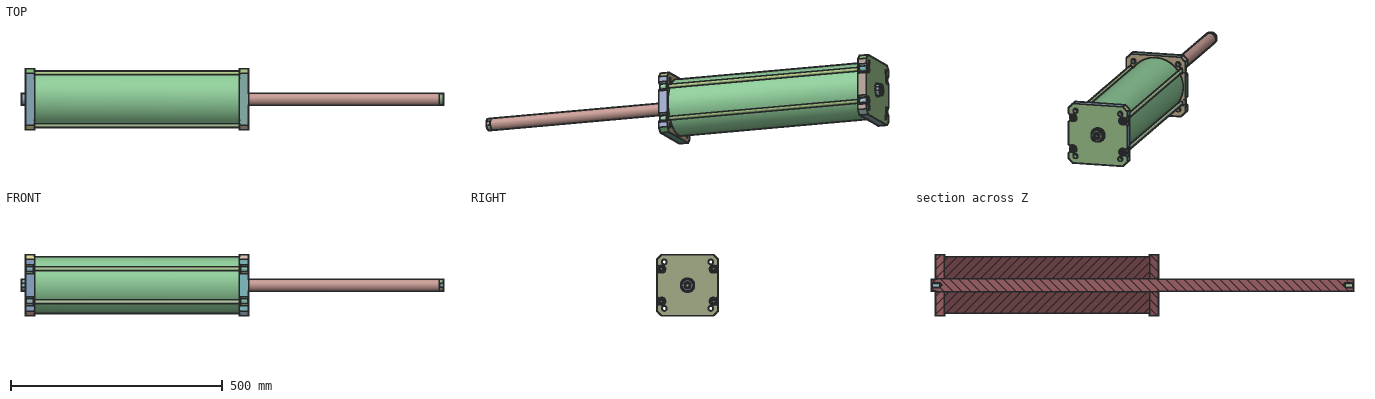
import cadquery as cq


total_length = 998.0
rear_stub = 10.0
cap_thickness = 22.0
body_length = 527.0
rear_face = rear_stub
body_middle = rear_face + body_length / 2
barrel_start = rear_face + cap_thickness
barrel_length = body_length - 2 * cap_thickness

cap_size = 145.0
half_cap = cap_size / 2
corner_chamfer = 11.0
mount_hole_offset = 55.0
mount_hole_diameter = 11.0
rod_recess_diameter = 33.0
rod_recess_depth = 3.0
pocket_diameter = 18.0
pocket_y = 61.0
pocket_z = 38.0
pocket_depth = 19.0
pocket_mouth = 22.0

barrel_diameter = 135.0
rod_diameter = 29.0
rod_end_step = 0.1
rod_end_diameter = rod_diameter - 2 * rod_end_step
rod_end_length = 11.0
rod_end_chamfer = 1.0
flat_depth = 0.7
flat_length = 9.0
end_hole_diameter = 10.0
end_hole_depth = 20.0
end_hole_mouth = 16.0

tie_y = 62.0
tie_z = 39.0
tie_diameter = 9.0
head_diameter = 15.0
head_recess = 1.0
head_length = pocket_depth - head_recess
socket_width = 8.0
socket_sides = 6
socket_turn = 90.0
socket_depth = 10.0

SIGNS = (-1, 1)
CORNERS = [(y_side, z_side) for y_side in SIGNS for z_side in SIGNS]


def x_cylinder(diameter, start, length, y=0, z=0):
    """Round bar along +X from x = start."""
    return cq.Workplane("YZ", origin=(start, y, z)).circle(diameter / 2).extrude(length)


def mirror_along_body(shape):
    """Copy of a shape on the other end of the cylinder body."""
    return shape.mirror("YZ", (body_middle, 0, 0))


def head_pocket(y_side, z_side):
    """Round pocket for a tie-rod head, opening on the cap side through a V mouth."""
    y = y_side * pocket_y
    z = z_side * pocket_z
    half_mouth = pocket_mouth / 2
    mouth_points = [
        (y_side * half_cap, z - half_mouth),
        (y_side * half_cap, z + half_mouth),
        (y_side * (half_cap - half_mouth), z),
    ]
    mouth = cq.Workplane("YZ", origin=(rear_face, 0, 0)).polyline(mouth_points).close().extrude(pocket_depth)
    return x_cylinder(pocket_diameter, rear_face, pocket_depth, y, z).union(mouth)


def make_rear_cap():
    """Square cap with a rod bore, corner mounting holes, tie-rod holes and head pockets."""
    cap = (
        cq.Workplane("YZ", origin=(rear_face, 0, 0))
        .rect(cap_size, cap_size)
        .extrude(cap_thickness)
        .edges("|X")
        .chamfer(corner_chamfer)
    )
    cap = cap.cut(x_cylinder(rod_diameter, rear_face, cap_thickness))
    cap = cap.cut(x_cylinder(rod_recess_diameter, rear_face, rod_recess_depth))
    for y_side, z_side in CORNERS:
        hole_y = y_side * mount_hole_offset
        hole_z = z_side * mount_hole_offset
        cap = cap.cut(x_cylinder(mount_hole_diameter, rear_face, cap_thickness, hole_y, hole_z))
        cap = cap.cut(head_pocket(y_side, z_side))
        cap = cap.cut(x_cylinder(tie_diameter, rear_face, cap_thickness, y_side * tie_y, z_side * tie_z))
    return cap


def make_barrel():
    """Cylinder body between the caps, bored to match the rod."""
    barrel = x_cylinder(barrel_diameter, barrel_start, barrel_length)
    return barrel.cut(x_cylinder(rod_diameter, barrel_start, barrel_length))


def make_rod_end():
    """Stepped rod end at x = 0 with two wrench flats and a countersunk end hole."""
    end = x_cylinder(rod_end_diameter, 0, rod_end_length).faces("<X").chamfer(rod_end_chamfer)
    for side in SIGNS:
        cutter = cq.Workplane("XY").box(flat_length, 2 * flat_depth, rod_end_diameter)
        end = end.cut(cutter.translate((flat_length / 2, side * rod_end_diameter / 2, 0)))
    return end


def end_hole():
    """Drilled hole from x = 0 with a countersunk mouth and a conical bottom."""
    mouth_radius = end_hole_mouth / 2
    radius = end_hole_diameter / 2
    profile = [
        (0, 0),
        (0, mouth_radius),
        (mouth_radius - radius, radius),
        (end_hole_depth, radius),
        (end_hole_depth + radius, 0),
    ]
    return cq.Workplane("XY").polyline(profile).close().revolve(360, (0, 0, 0), (1, 0, 0))


def make_piston_rod():
    """Rod that runs through the whole cylinder, with the same end at both ends."""
    rod = x_cylinder(rod_diameter, rod_end_length, total_length - 2 * rod_end_length)
    end = make_rod_end()
    hole = end_hole()
    middle = (total_length / 2, 0, 0)
    rod = rod.union(end).union(end.mirror("YZ", middle))
    return rod.cut(hole).cut(hole.mirror("YZ", middle))


def make_tie_rod(y_side, z_side):
    """Tie rod with a round head and hexagon socket at each end."""
    y = y_side * tie_y
    z = z_side * tie_z
    head_start = rear_face + head_recess
    shank = x_cylinder(tie_diameter, head_start, body_length - 2 * head_recess, y, z)
    head = x_cylinder(head_diameter, head_start, head_length, y, z)
    socket = (
        cq.Workplane("YZ", origin=(head_start, y, z))
        .transformed(rotate=(0, 0, socket_turn))
        .polygon(socket_sides, socket_width)
        .extrude(socket_depth)
    )
    tie_rod = shank.union(head).union(mirror_along_body(head))
    return tie_rod.cut(socket).cut(mirror_along_body(socket))


rear_cap = make_rear_cap()
front_cap = mirror_along_body(rear_cap)
barrel = make_barrel()
piston_rod = make_piston_rod()
tie_rods = [make_tie_rod(y_side, z_side).val() for y_side, z_side in CORNERS]

result = cq.Compound.makeCompound(
    [rear_cap.val(), front_cap.val(), barrel.val(), piston_rod.val(), *tie_rods]
)